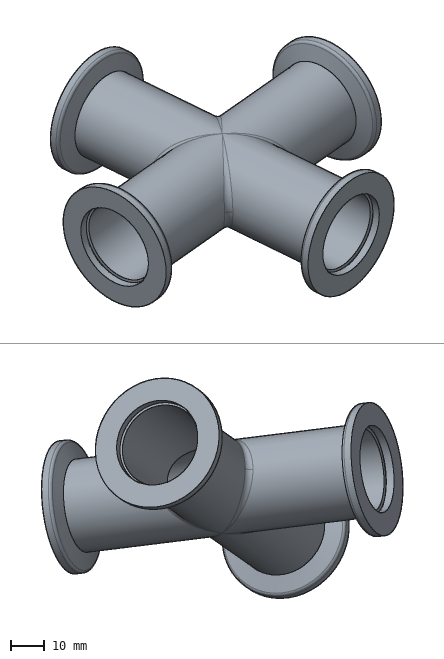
import cadquery as cq

SPAN = 100.0
HALF_SPAN = SPAN / 2

PIPE_RADIUS = 28.0 / 2
BORE_RADIUS = 25.0 / 2
CROTCH_FILLET = 1.8

FLANGE_COUNT = 4
FLANGE_RADIUS = 40.0 / 2
FLANGE_BORE_RADIUS = 26.2 / 2
SOCKET_RADIUS = 28.1 / 2
FLANGE_THICKNESS = 4.6
RIM_THICKNESS = 3.0
RIM_FILLET = 1.0
SOCKET_DEPTH = 2.5
PIPE_END_GAP = 0.5

ARM_LENGTH = HALF_SPAN - SOCKET_DEPTH - PIPE_END_GAP


def crossed_cylinders(radius):
    """Two equal cylinders along X and Y, joined at the origin."""
    along_x = cq.Workplane("YZ").circle(radius).extrude(ARM_LENGTH, both=True)
    along_y = cq.Workplane("XZ").circle(radius).extrude(ARM_LENGTH, both=True)
    return along_x.union(along_y)


def make_pipe_cross():
    """Four-way pipe with rounded crotches and open bores."""
    outside = crossed_cylinders(PIPE_RADIUS)
    crotch_edges = outside.edges("%ELLIPSE")
    rounded = crotch_edges.fillet(CROTCH_FILLET)
    return rounded.cut(crossed_cylinders(BORE_RADIUS)).solids()


def make_flange():
    """Clamp flange for the +X arm, with a conical back and a socket for the pipe."""
    shoulder = HALF_SPAN - SOCKET_DEPTH
    back = HALF_SPAN - FLANGE_THICKNESS
    rim_back = HALF_SPAN - RIM_THICKNESS

    section = (
        cq.Workplane("XY")
        .moveTo(HALF_SPAN, FLANGE_BORE_RADIUS)
        .lineTo(HALF_SPAN, FLANGE_RADIUS)
        .lineTo(rim_back, FLANGE_RADIUS)
        .lineTo(back, SOCKET_RADIUS)
        .lineTo(shoulder, SOCKET_RADIUS)
        .lineTo(shoulder, FLANGE_BORE_RADIUS)
        .close()
    )
    flange = section.revolve(360, (0, 0, 0), (1, 0, 0))

    rim_circles = flange.edges("%CIRCLE").edges(cq.selectors.RadiusNthSelector(-1))
    return rim_circles.edges("<X").fillet(RIM_FILLET).solids()


pipe_cross = make_pipe_cross()

flanges = []
for index in range(FLANGE_COUNT):
    angle = index * 360 / FLANGE_COUNT
    flanges.append(make_flange().rotate((0, 0, 0), (0, 0, 1), angle))

result = cq.Compound.makeCompound([pipe_cross.val(), *[flange.val() for flange in flanges]])